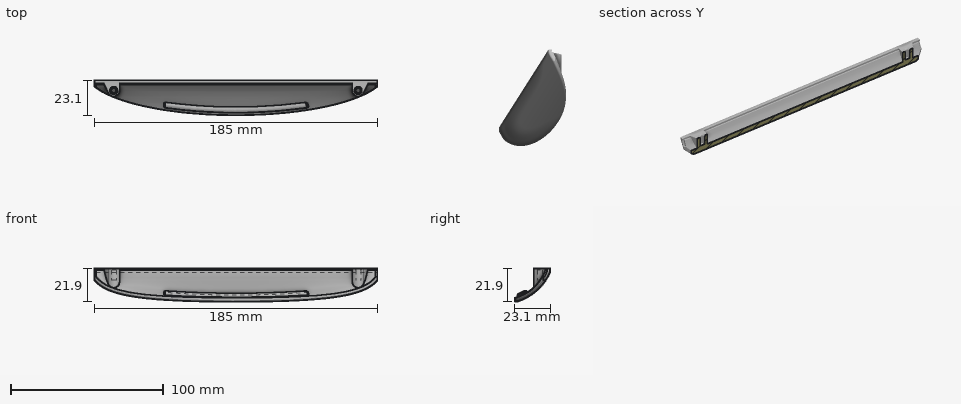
import cadquery as cq
import math

LENGTH = 185.0
DEPTH = 23.1
HALF_LENGTH = LENGTH / 2

ELLIPSE_HALF_LENGTH = 98.0
ELLIPSE_HALF_WIDTH = 28.3

BACK_EDGE_HEIGHT = 2.5
OUTER_MID_DEPTH = 8.7
OUTER_MID_DROP = 14.5
OUTER_END_DROP = 22.2
INNER_MID_DEPTH = 9.8
INNER_MID_DROP = 11.7
INNER_END_DROP = 19.2
EDGE_FILLET = 1.0

BAR_DEPTH = 2.2
BAR_HEIGHT = 1.3
LEDGE_DEPTH = 3.1

BOSS_X = 80.0
BOSS_DEPTH = 6.8
BOSS_RADIUS = 3.9
GUSSET_X = 86.5
HOLE_DIAMETER = 3.1
SINK_DIAMETER = 5.0
SINK_ANGLE = 90
HOLE_DEPTH = 7.4

RIB_RADIUS = 2.0
RIB_HALF_LENGTH = 47.2
RIB_MID_DEPTH = 19.5
RIB_END_DEPTH = 16.1
RIB_SINK = 0.2
RIB_END_CHAMFER = 1.0

REBATE_LENGTH = 1.3
REBATE_BOTTOM = 5.5
REBATE_FLOOR = 1.3


def circle_through(start, middle, end):
    """Centre coordinates and radius of the circle through three points."""
    (ay, az), (by, bz), (cy, cz) = start, middle, end
    a_square = ay**2 + az**2
    b_square = by**2 + bz**2
    c_square = cy**2 + cz**2
    divisor = 2 * (ay * (bz - cz) + by * (cz - az) + cy * (az - bz))
    centre_y = (a_square * (bz - cz) + b_square * (cz - az) + c_square * (az - bz)) / divisor
    centre_z = (a_square * (cy - by) + b_square * (ay - cy) + c_square * (by - ay)) / divisor
    return centre_y, centre_z, math.hypot(ay - centre_y, az - centre_z)


OUTER_Y, OUTER_Z, OUTER_RADIUS = circle_through(
    (0, -BACK_EDGE_HEIGHT),
    (-OUTER_MID_DEPTH, -OUTER_MID_DROP),
    (-DEPTH, -OUTER_END_DROP),
)
INNER_Y, INNER_Z, INNER_RADIUS = circle_through(
    (-LEDGE_DEPTH, -BAR_HEIGHT),
    (-INNER_MID_DEPTH, -INNER_MID_DROP),
    (-DEPTH, -INNER_END_DROP),
)


def box(x_min, x_max, y_min, y_max, z_min, z_max):
    size = (x_max - x_min, y_max - y_min, z_max - z_min)
    return cq.Workplane("XY").box(*size, centered=False).translate((x_min, y_min, z_min))


def arc_cylinder(centre_y, centre_z, radius):
    """Cylinder along X over the whole length of the part."""
    plane = cq.Workplane("YZ", origin=(-HALF_LENGTH, 0, 0))
    return plane.center(centre_y, centre_z).circle(radius).extrude(LENGTH)


def inner_drop(depth):
    """Distance of the inner face below the top face, at a given depth from the back."""
    return -INNER_Z + math.sqrt(INNER_RADIUS**2 - (depth + INNER_Y) ** 2)


def make_blank():
    """Solid above the outer arc and inside the plan outline, lower front and end edges rounded."""
    envelope = box(-HALF_LENGTH, HALF_LENGTH, -DEPTH, 0, -OUTER_END_DROP, 0)
    outline = (
        cq.Workplane("XY")
        .center(0, ELLIPSE_HALF_WIDTH - DEPTH)
        .ellipse(ELLIPSE_HALF_LENGTH, ELLIPSE_HALF_WIDTH)
        .extrude(-OUTER_END_DROP)
    )
    blank = envelope.intersect(outline).intersect(arc_cylinder(OUTER_Y, OUTER_Z, OUTER_RADIUS))
    end_arcs = blank.edges("%CIRCLE")
    front_edge = blank.edges("<Z")
    return blank.newObject(end_arcs.vals() + front_edge.vals()).fillet(EDGE_FILLET)


def make_bar_clearance():
    """Space above the shell in front of the bar; it leaves a narrow flat ledge at the foot of the bar."""
    return box(-HALF_LENGTH, HALF_LENGTH, -DEPTH, -BAR_DEPTH, -BAR_HEIGHT, 0)


def make_boss(side):
    """Round column blended into a gusset; side is -1 for the left end and 1 for the right end."""
    reach = GUSSET_X - BOSS_X
    drop = BOSS_DEPTH - BAR_DEPTH
    tangent_angle = math.atan2(drop, reach) - math.acos(BOSS_RADIUS / math.hypot(reach, drop))
    tangent_x = BOSS_X + BOSS_RADIUS * math.cos(tangent_angle)
    tangent_y = -BOSS_DEPTH + BOSS_RADIUS * math.sin(tangent_angle)
    inner_x = BOSS_X - BOSS_RADIUS
    return (
        cq.Workplane("XY")
        .moveTo(side * inner_x, 0)
        .lineTo(side * GUSSET_X, 0)
        .lineTo(side * GUSSET_X, -BAR_DEPTH)
        .lineTo(side * tangent_x, tangent_y)
        .threePointArc((side * BOSS_X, -BOSS_DEPTH - BOSS_RADIUS), (side * inner_x, -BOSS_DEPTH))
        .close()
        .extrude(-OUTER_END_DROP)
    )


def make_rebate(side):
    """Rebate that lowers the inner face over a short length at one end."""
    outer_x = side * HALF_LENGTH
    inner_x = side * (HALF_LENGTH - REBATE_LENGTH)
    window = box(min(outer_x, inner_x), max(outer_x, inner_x), -DEPTH, 0, -REBATE_BOTTOM, -BAR_HEIGHT)
    return window.intersect(arc_cylinder(INNER_Y, INNER_Z, INNER_RADIUS + REBATE_FLOOR))


def make_rib():
    """Round bar half sunk in the inner face, bowed along with the front edge."""
    end = (RIB_HALF_LENGTH, -RIB_END_DEPTH, -inner_drop(RIB_END_DEPTH) - RIB_SINK)
    middle = (0, -RIB_MID_DEPTH, -inner_drop(RIB_MID_DEPTH) - RIB_SINK)
    start = (-end[0], end[1], end[2])
    bow = cq.Edge.makeThreePointArc(cq.Vector(start), cq.Vector(middle), cq.Vector(end))
    rib = cq.Workplane("YZ", origin=start).circle(RIB_RADIUS).sweep(cq.Wire.assembleEdges([bow]))
    return rib.faces("<X or >X").chamfer(RIB_END_CHAMFER)


bar = box(-HALF_LENGTH, HALF_LENGTH, -BAR_DEPTH, 0, -BAR_HEIGHT, 0)
inside = arc_cylinder(INNER_Y, INNER_Z, INNER_RADIUS).cut(bar).union(make_bar_clearance())
for end_side in (-1, 1):
    inside = inside.union(make_rebate(end_side)).cut(make_boss(end_side))

result = make_blank().cut(inside).union(make_rib())

result = (
    result.faces(">Z")
    .workplane(origin=(0, 0, 0))
    .pushPoints([(-BOSS_X, -BOSS_DEPTH), (BOSS_X, -BOSS_DEPTH)])
    .cskHole(HOLE_DIAMETER, SINK_DIAMETER, SINK_ANGLE, HOLE_DEPTH)
)